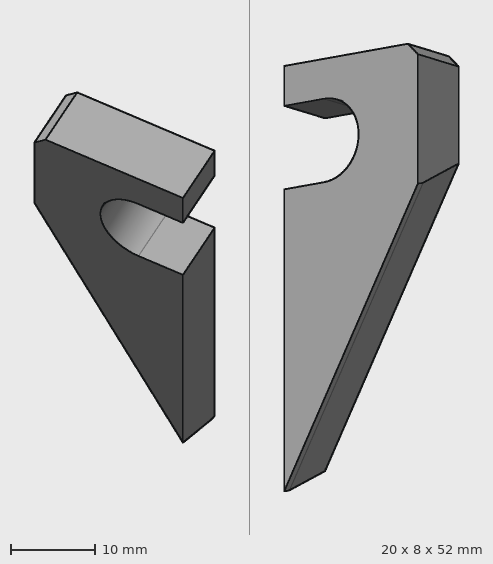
import cadquery as cq
import math

width = 20.0
thickness = 8.0
height = 52.0

corner_chamfer = 1.5
edge_angle = math.radians(60)
edge_rise = width * math.tan(edge_angle)

slot_radius = 5.1
slot_center_x = 14.0
slot_center_z = height - 10.0

land_width = 0.95
land_rise = 0.25
bevel_rise = 4.0


def make_plate():
    """Pointed plate with its front face on y = 0."""
    return (
        cq.Workplane("XZ")
        .moveTo(width, 0)
        .lineTo(width, height)
        .lineTo(corner_chamfer, height)
        .lineTo(0, height - corner_chamfer)
        .lineTo(0, edge_rise)
        .close()
        .extrude(-thickness)
    )


def make_slot():
    """Round-ended slot that runs out through the +X side."""
    return (
        cq.Workplane("XZ")
        .moveTo(width, slot_center_z - slot_radius)
        .lineTo(slot_center_x, slot_center_z - slot_radius)
        .threePointArc(
            (slot_center_x - slot_radius, slot_center_z),
            (slot_center_x, slot_center_z + slot_radius),
        )
        .lineTo(width, slot_center_z + slot_radius)
        .close()
        .extrude(-thickness)
    )


def make_bevel_cutter():
    """Prism sheared along the slanted edge, removing both bevels."""
    def section(x, edge_z):
        return cq.Wire.makePolygon(
            [
                cq.Vector(x, thickness, edge_z),
                cq.Vector(x, thickness - land_width, edge_z + land_rise),
                cq.Vector(x, 0, edge_z + bevel_rise),
                cq.Vector(x, 0, edge_z),
            ],
            close=True,
        )

    return cq.Solid.makeLoft([section(0, edge_rise), section(width, 0)], True)


result = make_plate().cut(make_slot()).cut(cq.Workplane(obj=make_bevel_cutter()))